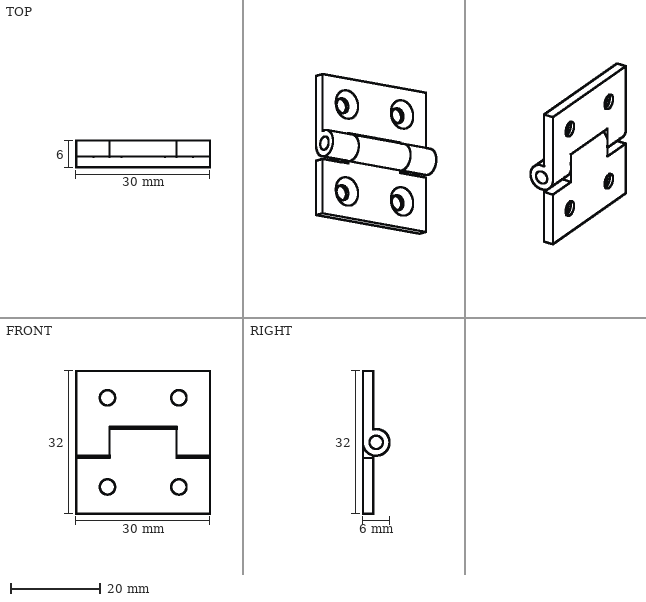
import cadquery as cq

height = 32.0
width = 30.0
knuckle_diameter = 6.0
pin_diameter = 3.0
leaf_thickness = 2.4

edge_setback = 3.5

hole_diameter = 3.4
hole_spacing = 16.0
hole_height = 10.0
countersink_diameter = 6.5
countersink_depth = (countersink_diameter - hole_diameter) / 2

knuckle_radius = knuckle_diameter / 2
leaf_height = height / 2
middle_length = width / 2
outer_length = (width - middle_length) / 2
outer_center = (middle_length + outer_length) / 2
leaf_center_y = -knuckle_radius + leaf_thickness / 2

outer_knuckles = [(-outer_center, outer_length), (outer_center, outer_length)]
middle_knuckles = [(0, middle_length)]


def x_cylinder(diameter, center_x, length):
    """Cylinder on the pin axis."""
    return cq.Workplane("YZ", origin=(center_x, 0, 0)).circle(diameter / 2).extrude(length / 2, both=True)


def plate(center_x, length, bottom, top):
    """Flat piece of leaf, flush with the front of the knuckles."""
    center = (center_x, leaf_center_y, (bottom + top) / 2)
    return cq.Workplane("XY").box(length, leaf_thickness, top - bottom).translate(center)


def screw_hole(center_x):
    """Through hole that widens to a countersink at the back of the leaf."""
    front_y = -knuckle_radius
    back_y = front_y + leaf_thickness
    hole_radius = hole_diameter / 2
    profile = [
        (0, front_y),
        (hole_radius, front_y),
        (hole_radius, back_y - countersink_depth),
        (countersink_diameter / 2, back_y),
        (0, back_y),
    ]
    cutter = cq.Workplane("XY").polyline(profile).close().revolve(360, (0, 0), (0, 1))
    return cutter.translate((center_x, 0, hole_height))


def make_leaf(knuckles):
    """Leaf rising from the pin axis, with knuckles tangent to its front face."""
    leaf = plate(0, width, edge_setback, leaf_height)
    for center_x, length in knuckles:
        leaf = leaf.union(plate(center_x, length, 0, edge_setback))
        leaf = leaf.union(x_cylinder(knuckle_diameter, center_x, length))

    leaf = leaf.cut(x_cylinder(pin_diameter, 0, width))

    for hole_x in (-hole_spacing / 2, hole_spacing / 2):
        leaf = leaf.cut(screw_hole(hole_x))
    return leaf.clean().solids()


upper_leaf = make_leaf(outer_knuckles)

lower_leaf = make_leaf(middle_knuckles).mirror("XY").solids()

pin = x_cylinder(pin_diameter, 0, width).solids()

result = cq.Compound.makeCompound([upper_leaf.val(), lower_leaf.val(), pin.val()])